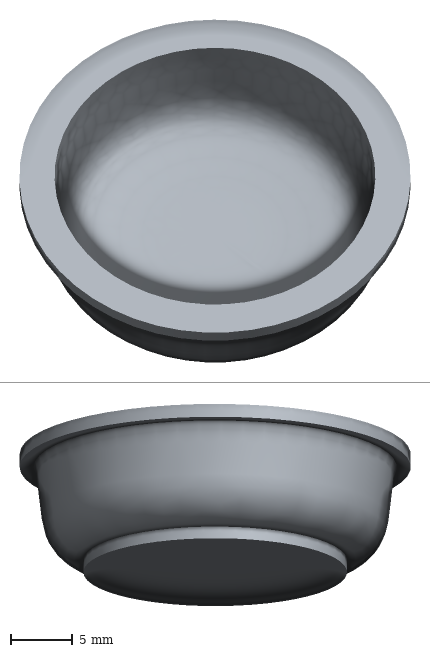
import cadquery as cq

total_height = 10.0
rim_radius = 32 / 2
rim_thickness = 1.1
foot_radius = 21.57 / 2
foot_height = 1.0
body_top_radius = 14.85
opening_radius = 13.12
bowl_depth = 8.0

rim_bottom = total_height - rim_thickness
floor_height = total_height - bowl_depth

outer_wall_points = [(14.27, 5.15), (13.65, 2.85), (12.8, 1.8)]
inner_wall_points = [(12.75, 6.15), (12.22, 3.78), (11.35, 2.72), (9.6, 2.27)]


def make_outer_body():
    """Solid of revolution: foot, curved bowl wall and flat rim."""
    profile = (
        cq.Workplane("XZ")
        .lineTo(foot_radius, 0)
        .lineTo(foot_radius, foot_height)
        .spline(
            outer_wall_points[::-1] + [(body_top_radius, rim_bottom)],
            includeCurrent=True,
        )
        .lineTo(rim_radius, rim_bottom)
        .lineTo(rim_radius, total_height)
        .lineTo(0, total_height)
        .close()
    )
    return profile.revolve(360, (0, 0, 0), (0, 1, 0))


def make_cavity():
    """Rounded bowl interior with a gently dished floor, level at the centre."""
    straight_down = (0, -1)
    level_inward = (-1, 0)
    profile = (
        cq.Workplane("XZ")
        .moveTo(0, total_height)
        .lineTo(opening_radius, total_height)
        .spline(
            inner_wall_points + [(0, floor_height)],
            tangents=[straight_down, level_inward],
            includeCurrent=True,
        )
        .close()
    )
    return profile.revolve(360, (0, 0, 0), (0, 1, 0))


result = make_outer_body().cut(make_cavity())